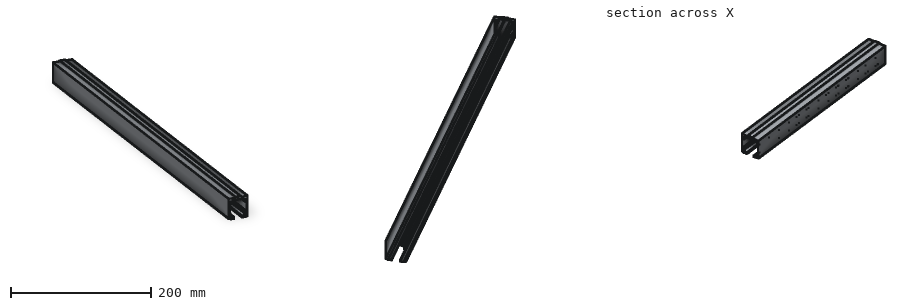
import cadquery as cq
import math

length = 600.0
width = 30.0
height = 33.0

ridge_width = 8.5
ridge_height = 1.0
roof_thickness = 3.5
haunch_drop = 1.0
recess_width = 16.0
notch_width = 1.0
notch_depth = 2.0

thick_wall = 3.0
thin_wall = 2.0
upper_step_z = 6.0
lower_step_z = -8.0

slot_width = 12.5
lip_root_height = 4.0
lip_tip_height = 2.5
bottom_chamfer_width = 3.5
bottom_chamfer_height = 1.0

half_width = width / 2
top_z = height / 2
bottom_z = -height / 2
shoulder_z = top_z - ridge_height
recess_z = shoulder_z - roof_thickness
haunch_z = recess_z - haunch_drop
thick_inner_y = half_width - thick_wall
thin_inner_y = half_width - thin_wall
ridge_edge_y = ridge_width / 2
ridge_foot_y = ridge_edge_y + ridge_height
lip_root_z = bottom_z + lip_root_height

half_outline = [
    (ridge_foot_y, shoulder_z),
    (half_width, shoulder_z),
    (half_width, bottom_z + bottom_chamfer_height),
    (half_width - bottom_chamfer_width, bottom_z),
    (slot_width / 2, bottom_z),
    (slot_width / 2, bottom_z + lip_tip_height),
    (thick_inner_y, lip_root_z),
    (thick_inner_y, lower_step_z),
    (thin_inner_y, lower_step_z),
    (thin_inner_y, upper_step_z),
    (thick_inner_y, upper_step_z),
    (thick_inner_y, haunch_z),
    (recess_width / 2, haunch_z),
    (recess_width / 2, recess_z),
    (notch_width / 2, recess_z),
    (0, recess_z + notch_depth),
]

mirrored_outline = [(-y, z) for y, z in reversed(half_outline[:-1])]

flank_mid_offset = ridge_height * (1 - math.sqrt(0.5))
flank_mid_y = ridge_edge_y + flank_mid_offset
flank_mid_z = shoulder_z + flank_mid_offset

result = (
    cq.Workplane("YZ")
    .polyline(half_outline + mirrored_outline)
    .threePointArc((-flank_mid_y, flank_mid_z), (-ridge_edge_y, top_z))
    .lineTo(ridge_edge_y, top_z)
    .threePointArc((flank_mid_y, flank_mid_z), (ridge_foot_y, shoulder_z))
    .close()
    .extrude(length / 2, both=True)
)